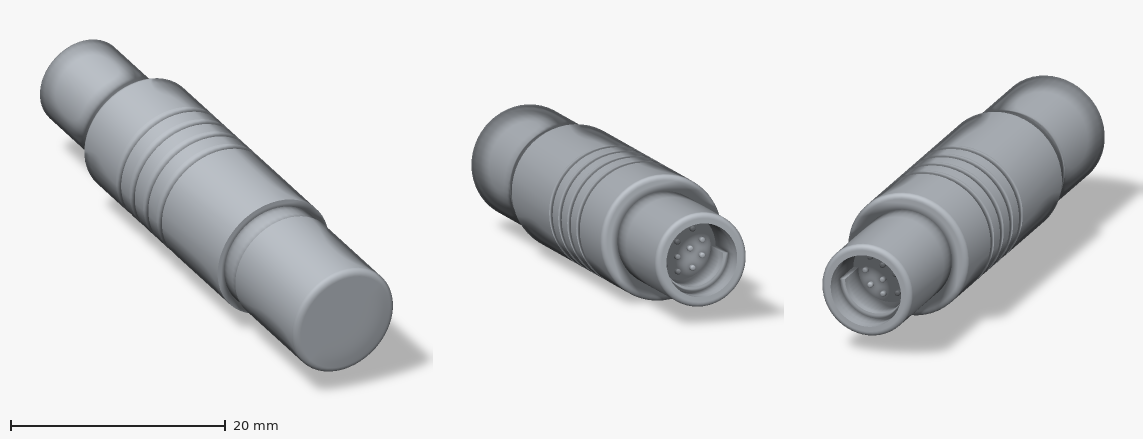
import cadquery as cq

total_length = 49.0
sleeve_dia = 12.0
nose_dia = 8.95
neck_dia = 10.55
tail_dia = 10.85

sleeve_start = 10.8
sleeve_end = 35.7
tail_start = 37.98

nose_round = 0.5
sleeve_round = 0.5
tail_round = 0.6

groove_count = 4
groove_start = 16.95
groove_pitch = 2.5
groove_width = 1.0
groove_cone_length = 0.55
groove_cone_depth = 0.27

bore_dia = 7.0
bore_depth = 6.0
key_inner_dia = 6.05
key_setback = 2.5

insert_dia = 5.9
insert_height = 0.2
insert_face = bore_depth - insert_height
pin_dia = 0.55
pin_tip_round = 0.2
pin_length = 0.5
inner_pin_count = 3
inner_pin_radius = 0.85
outer_pin_count = 9
outer_pin_radius = 2.15


def cylinder(dia, start, end):
    """Solid cylinder on the X axis between two stations."""
    return cq.Workplane("YZ", origin=(start, 0, 0)).circle(dia / 2).extrude(end - start)


def make_body():
    nose = cylinder(nose_dia, 0, sleeve_start).faces("<X").edges().fillet(nose_round)
    sleeve = cylinder(sleeve_dia, sleeve_start, sleeve_end).faces("<X").edges().fillet(sleeve_round)
    neck = cylinder(neck_dia, sleeve_end, tail_start)
    tail = cylinder(tail_dia, tail_start, total_length).faces(">X").edges().fillet(tail_round)
    return nose.union(sleeve).union(neck).union(tail)


def make_groove(start):
    """Ring that cuts one grip groove: a shallow cone running into a tangent arc."""
    surface = sleeve_dia / 2
    section = (
        cq.Workplane("XY")
        .moveTo(start, surface)
        .lineTo(start + groove_cone_length, surface - groove_cone_depth)
        .tangentArcPoint((start + groove_width, surface), relative=False)
        .close()
    )
    return section.revolve(360, (0, 0, 0), (1, 0, 0))


def make_key():
    """Lower half of a ring against the socket wall."""
    ring = cylinder(bore_dia, key_setback, bore_depth).cut(
        cylinder(key_inner_dia, key_setback, bore_depth)
    )
    lower_half = cq.Workplane("XY").box(
        bore_depth, bore_dia, bore_dia / 2, centered=(False, True, False)
    ).translate((0, 0, -bore_dia / 2))
    return ring.intersect(lower_half)


def make_pins(count, circle_radius, first_angle):
    """Ring of round-tipped pins standing on the insert face, pointing towards the nose end."""
    return (
        cq.Workplane("YZ", origin=(insert_face - pin_length, 0, 0))
        .polarArray(circle_radius, first_angle, 360, count)
        .circle(pin_dia / 2)
        .extrude(pin_length + insert_height)
        .faces("<X")
        .edges()
        .fillet(pin_tip_round)
    )


result = make_body().cut(cylinder(bore_dia, 0, bore_depth))
for index in range(groove_count):
    result = result.cut(make_groove(groove_start + index * groove_pitch))
result = result.union(make_key())
result = result.union(cylinder(insert_dia, insert_face, bore_depth))
result = result.union(make_pins(inner_pin_count, inner_pin_radius, 180))
result = result.union(make_pins(outer_pin_count, outer_pin_radius, 0))